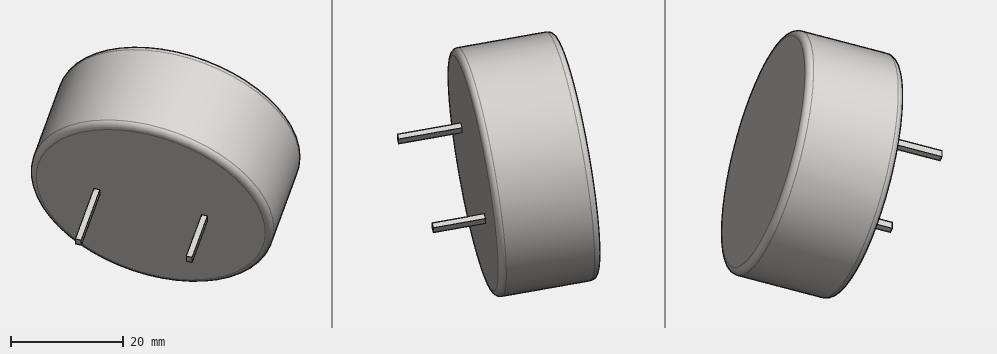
import cadquery as cq

housing_diameter = 45.0
housing_depth = 18.5
edge_radius = 1.2

pin_width = 1.1
pin_height = 1.55
pin_spacing = 20.0
long_pin_length = 11.5
short_pin_length = 9.5


def make_housing():
    """Disc from Y = 0 back to Y = housing_depth with both rims rounded."""
    disc = cq.Workplane("XZ").circle(housing_diameter / 2).extrude(-housing_depth)
    return disc.faces("<Y or >Y").edges().fillet(edge_radius)


def make_pin(x_center, length):
    """Rectangular pin standing out of the front face towards -Y."""
    return (
        cq.Workplane("XZ")
        .center(x_center, 0)
        .rect(pin_width, pin_height)
        .extrude(length)
    )


result = make_housing()
for x_center, length in (
    (-pin_spacing / 2, long_pin_length),
    (pin_spacing / 2, short_pin_length),
):
    result = result.union(make_pin(x_center, length))